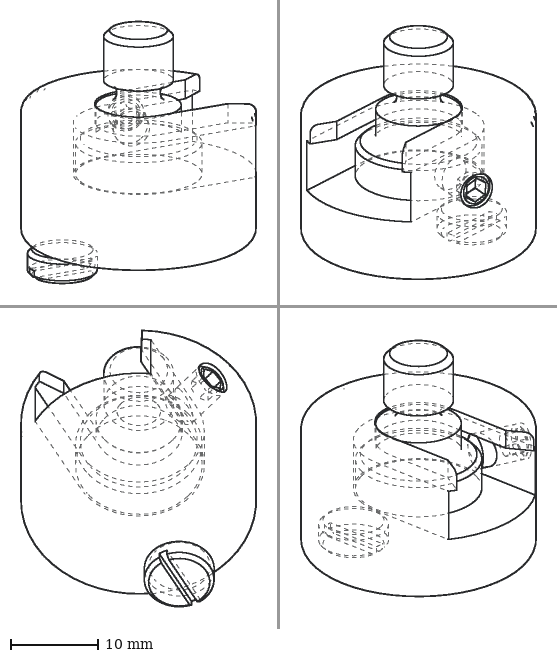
import cadquery as cq
import math

HOUSING_DIAMETER = 27.0
HOUSING_HEIGHT = 15.98
RIM_RADIUS = 1.0
HOUSING_RADIUS = HOUSING_DIAMETER / 2

SLOT_WIDTH = 10
SLOT_FLOOR_Z = 7.5
LIP_THICKNESS = 2.28
CHANNEL_WIDTH = 15
CHANNEL_TOP_Z = HOUSING_HEIGHT - LIP_THICKNESS
MOUTH_START_Y = 8.9
MOUTH_ANGLE = 30

FLANGE_DIAMETER = 14.5
FLANGE_THICKNESS = 4.3
FLANGE_CHAMFER = 0.55
COLLAR_DIAMETER = 9.8
COLLAR_FILLET = 0.75
COLLAR_RECESS = 0.2
HEAD_DIAMETER = 8.0
HEAD_HEIGHT = 6.0
HEAD_CHAMFER = 0.7
WAIST_DIAMETER = 5
FLANGE_TOP_Z = SLOT_FLOOR_Z + FLANGE_THICKNESS
COLLAR_TOP_Z = HOUSING_HEIGHT - COLLAR_RECESS
WAIST_GROOVE_RADIUS = (HEAD_DIAMETER - WAIST_DIAMETER) / 2
HEAD_BOTTOM_Z = COLLAR_TOP_Z + 2 * WAIST_GROOVE_RADIUS
HEAD_TOP_Z = HEAD_BOTTOM_Z + HEAD_HEIGHT

SET_SCREW_DIAMETER = 4.15
SET_SCREW_CHAMFER = 0.42
SET_SCREW_ANGLE = 22.5
SET_SCREW_RECESS = 0.28
SOCKET_FLATS = 2.5
SOCKET_DEPTH = 2.22
SOCKET_TURN = -5
SOCKET_TIP_DEPTH = 0.7
SET_SCREW_Z = (SLOT_FLOOR_Z + CHANNEL_TOP_Z) / 2
SET_SCREW_FACE_RADIUS = HOUSING_RADIUS - SET_SCREW_RECESS
SET_SCREW_LENGTH = SET_SCREW_FACE_RADIUS - FLANGE_DIAMETER / 2

FOOT_DIAMETER = 8.0
FOOT_HEIGHT = 3.0
FOOT_CHAMFER = 0.5
FOOT_OFFSET = 9.98
DRIVER_SLOT_WIDTH = 1.0
DRIVER_SLOT_DEPTH = 1.17


def round_ended_slot(width, bottom_z, top_z):
    """Cutter with a round end on the Z axis, running out past the +Y side."""
    half = width / 2
    return (
        cq.Workplane("XY", origin=(0, 0, bottom_z))
        .moveTo(-half, HOUSING_DIAMETER)
        .lineTo(-half, 0)
        .threePointArc((0, -half), (half, 0))
        .lineTo(half, HOUSING_DIAMETER)
        .close()
        .extrude(top_z - bottom_z)
    )


def slot_mouth():
    """Flared entry cutter through the lips of the T-slot."""
    half = SLOT_WIDTH / 2
    flare_length = HOUSING_RADIUS - MOUTH_START_Y
    outer_half = half + flare_length * math.tan(math.radians(MOUTH_ANGLE))
    return (
        cq.Workplane("XY", origin=(0, 0, CHANNEL_TOP_Z))
        .polyline([
            (-half, MOUTH_START_Y),
            (half, MOUTH_START_Y),
            (outer_half, HOUSING_RADIUS),
            (-outer_half, HOUSING_RADIUS),
        ])
        .close()
        .extrude(LIP_THICKNESS)
    )


def set_screw_plane(radius):
    """Plane at a distance from the housing axis, facing out along the set screw."""
    angle = math.radians(SET_SCREW_ANGLE)
    outward = (-math.cos(angle), math.sin(angle), 0)
    origin = (radius * outward[0], radius * outward[1], SET_SCREW_Z)
    return cq.Plane(origin=origin, xDir=(0, 0, 1), normal=outward)


def make_housing():
    block = cq.Workplane("XY").circle(HOUSING_RADIUS).extrude(HOUSING_HEIGHT)
    block = block.edges("%CIRCLE").fillet(RIM_RADIUS)
    channel = round_ended_slot(CHANNEL_WIDTH, SLOT_FLOOR_Z, CHANNEL_TOP_Z)
    slot = round_ended_slot(SLOT_WIDTH, CHANNEL_TOP_Z, HOUSING_HEIGHT)
    screw_hole = (
        cq.Workplane(set_screw_plane(FLANGE_DIAMETER / 2))
        .circle(SET_SCREW_DIAMETER / 2)
        .extrude(HOUSING_RADIUS)
    )
    return block.cut(channel).cut(slot).cut(slot_mouth()).cut(screw_hole)


def make_stud():
    flange_radius = FLANGE_DIAMETER / 2
    collar_radius = COLLAR_DIAMETER / 2
    head_radius = HEAD_DIAMETER / 2
    fillet_centre = (collar_radius + COLLAR_FILLET, FLANGE_TOP_Z + COLLAR_FILLET)
    fillet_reach = COLLAR_FILLET * math.sqrt(0.5)
    fillet_middle = (fillet_centre[0] - fillet_reach, fillet_centre[1] - fillet_reach)
    waist_middle = (WAIST_DIAMETER / 2, COLLAR_TOP_Z + WAIST_GROOVE_RADIUS)
    return (
        cq.Workplane("XZ")
        .moveTo(0, SLOT_FLOOR_Z)
        .lineTo(flange_radius, SLOT_FLOOR_Z)
        .lineTo(flange_radius, FLANGE_TOP_Z - FLANGE_CHAMFER)
        .lineTo(flange_radius - FLANGE_CHAMFER, FLANGE_TOP_Z)
        .lineTo(fillet_centre[0], FLANGE_TOP_Z)
        .threePointArc(fillet_middle, (collar_radius, fillet_centre[1]))
        .lineTo(collar_radius, COLLAR_TOP_Z)
        .lineTo(head_radius, COLLAR_TOP_Z)
        .threePointArc(waist_middle, (head_radius, HEAD_BOTTOM_Z))
        .lineTo(head_radius, HEAD_TOP_Z - HEAD_CHAMFER)
        .lineTo(head_radius - HEAD_CHAMFER, HEAD_TOP_Z)
        .lineTo(0, HEAD_TOP_Z)
        .close()
        .revolve(360, (0, 0), (0, 1))
    )


def make_set_screw():
    face_plane = set_screw_plane(SET_SCREW_FACE_RADIUS)
    body = cq.Workplane(face_plane).circle(SET_SCREW_DIAMETER / 2).extrude(-SET_SCREW_LENGTH)
    body = body.faces("<X").chamfer(SET_SCREW_CHAMFER)
    corner_diameter = SOCKET_FLATS / math.cos(math.radians(30))
    socket_plane = face_plane.rotated((0, 0, SOCKET_TURN))
    full_depth = SOCKET_DEPTH + SOCKET_TIP_DEPTH
    hexagon = cq.Workplane(socket_plane).polygon(6, corner_diameter).extrude(-full_depth)
    envelope = (
        cq.Workplane(socket_plane)
        .circle(corner_diameter / 2)
        .extrude(-SOCKET_DEPTH)
        .union(cq.Workplane(cq.Solid.makeCone(
            corner_diameter / 2,
            0,
            SOCKET_TIP_DEPTH,
            face_plane.toWorldCoords((0, 0, -SOCKET_DEPTH)),
            -face_plane.zDir,
        )))
    )
    return body.cut(hexagon.intersect(envelope))


def make_foot_screw():
    head = (
        cq.Workplane("XY", origin=(0, -FOOT_OFFSET, -FOOT_HEIGHT))
        .circle(FOOT_DIAMETER / 2)
        .extrude(FOOT_HEIGHT)
        .edges("%CIRCLE")
        .chamfer(FOOT_CHAMFER)
    )
    driver_slot = (
        cq.Workplane("XY", origin=(0, -FOOT_OFFSET, -FOOT_HEIGHT))
        .rect(DRIVER_SLOT_WIDTH, FOOT_DIAMETER)
        .extrude(DRIVER_SLOT_DEPTH)
    )
    return head.cut(driver_slot)


housing = make_housing()
stud = make_stud()
set_screw = make_set_screw()
foot_screw = make_foot_screw()

result = cq.Compound.makeCompound([
    housing.val(),
    stud.val(),
    set_screw.val(),
    foot_screw.val(),
])